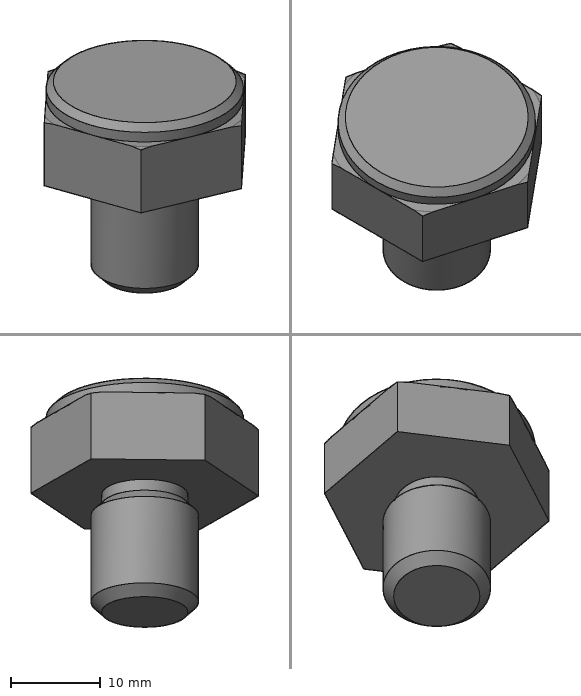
import cadquery as cq
import math

across_corners = 25.4
across_flats = across_corners * math.cos(math.pi / 6)
total_height = 24.0
cap_height = 2.0
cap_chamfer = 0.81
hex_height = 8.0
corner_chamfer_radius = 12.12
corner_chamfer_drop = 0.15
shank_diameter = 12.0
neck_diameter = 9.6
neck_height = 1.3

hex_top = total_height - cap_height
hex_bottom = hex_top - hex_height
shank_length = hex_bottom - neck_height
shank_chamfer = (shank_diameter - neck_diameter) / 2


def hex_head():
    """Hexagon with corners on Y, its upper corners trimmed by a shallow cone."""
    corner_radius = across_corners / 2
    prism = (
        cq.Workplane("XY", origin=(0, 0, hex_bottom))
        .polygon(6, across_corners)
        .extrude(hex_height)
        .rotate((0, 0, 0), (0, 0, 1), 30)
    )
    cone_envelope = (
        cq.Workplane("XZ")
        .moveTo(0, hex_bottom)
        .lineTo(corner_radius, hex_bottom)
        .lineTo(corner_radius, hex_top - corner_chamfer_drop)
        .lineTo(corner_chamfer_radius, hex_top)
        .lineTo(0, hex_top)
        .close()
        .revolve(360, (0, 0, 0), (0, 1, 0))
    )
    return prism.intersect(cone_envelope)


def cap():
    """Round chamfered cap, as wide as the hexagon flats."""
    return (
        cq.Workplane("XY", origin=(0, 0, hex_top))
        .circle(across_flats / 2)
        .extrude(cap_height)
        .faces(">Z")
        .chamfer(cap_chamfer)
    )


def shank():
    """Cylindrical shank with both ends chamfered down to the neck diameter."""
    return (
        cq.Workplane("XY")
        .circle(shank_diameter / 2)
        .extrude(shank_length)
        .faces("<Z or >Z")
        .chamfer(shank_chamfer)
    )


def neck():
    """Undercut joining the shank to the head."""
    return (
        cq.Workplane("XY", origin=(0, 0, shank_length))
        .circle(neck_diameter / 2)
        .extrude(neck_height)
    )


result = hex_head().union(cap()).union(neck()).union(shank())